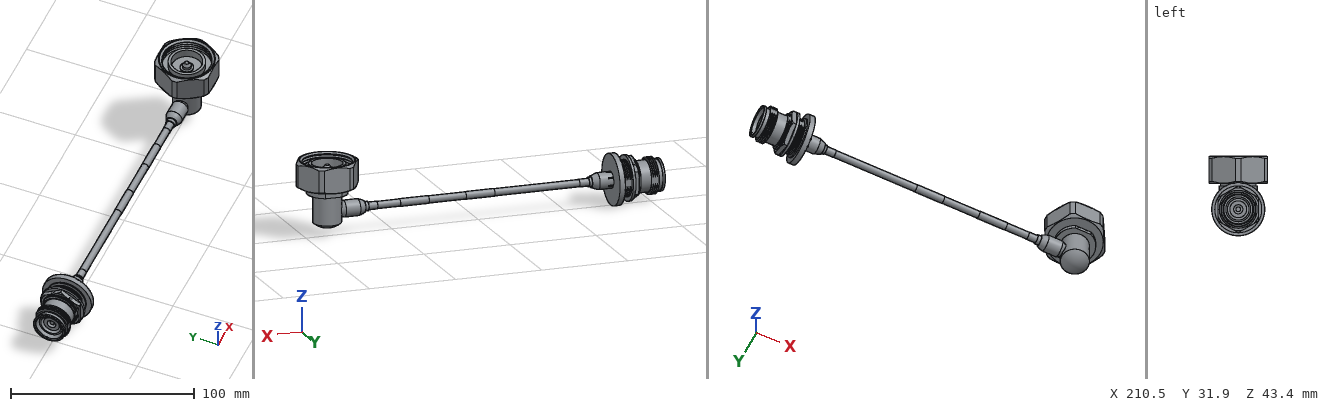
import cadquery as cq
import math


overall_length = 210.52
overall_height = 43.4

cable_radius = 2.07
sleeve_radius = 2.2
marker_length = 16.6
marker_starts = (96.3, 134.4)

lip_end = 1.3
front_thread_start = 3.6
front_thread_end = 8.0
rear_thread_start = 14.1
gasket_start = 24.3
flange_start = 25.1
flange_end = 28.3
slot_end = 31.0
jack_barrel_end = 36.2
jack_round_end = 38.1
jack_cone_end = 40.0
jack_collar_end = 41.5
jack_ferrule_end = 47.0

lip_radius = 9.2
relief_radius = 8.6
shank_radius = 8.9
thread_crest_radius = 10.35
thread_root_radius = 9.5
thread_pitch = 1.0
crest_width = 0.2
thread_flat_offset = 9.3
gasket_radius = 11.5
flange_radius = 14.5

mouth_radius = 7.9
mouth_depth = 8.0
mouth_chamfer = 0.5
outer_contact_radius = 6.8
outer_contact_bore_radius = 5.9
outer_contact_recess = 2.5
insulator_radius = 4.6
insulator_bore_radius = 2.5
insulator_recess = 3.5
insulator_bore_depth = 6.5
socket_radius = 1.3
socket_recess = 4.5

barrel_radius = 4.7
taper_large_radius = 4.0
taper_small_radius = 3.3
collar_radius = 2.7

slot_count = 6
slot_width = 0.6
slot_depth = 0.4

panel_nut_start = 15.8
panel_nut_washer_start = 18.4
panel_nut_end = 19.9
panel_nut_across_flats = 22.0
half_hex_angle = 30
panel_nut_washer_radius = 12.8
panel_nut_face_radius = 11.6
panel_nut_chamfer_length = 0.7

coupling_top = overall_height - flange_radius
coupling_bottom = 14.0
coupling_across_flats = 31.86
coupling_turned_radius = 17.58
coupling_face_radius = 15.5
coupling_chamfer_height = 1.2
coupling_web = 2.5
coupling_major_radius = 14.6
coupling_minor_radius = 13.7
coupling_thread_pitch = 1.5
coupling_mouth_radius = 15.0
coupling_mouth_depth = 0.8

plug_axis_x = overall_length - coupling_turned_radius
plug_floor = coupling_top - 5.6
plug_seat = coupling_bottom + coupling_web
neck_radius = 9.8
collar_top = 12.7
collar_bottom = 10.1
plug_collar_radius = 11.45
plug_collar_flat_offset = 10.45
elbow_radius = 7.95
dome_start = -6.5
dome_height = 3.1
plug_tube_radius = 10.2
plug_tube_bore_radius = 8.6
plug_tube_top = coupling_top - 1.9
plug_insulator_top = coupling_top - 6.8
pin_base_radius = 3.7
pin_radius = 2.4
pin_tip_radius = 1.2
pin_base_top = plug_insulator_top + 0.6
pin_taper_start = coupling_top - 4.6
pin_tip_top = coupling_top - 2.9

entry_ferrule_start = 164.3
entry_collar_start = 169.5
entry_cone_start = 171.5
entry_round_start = 172.9
entry_barrel_start = 175.1
entry_barrel_end = 183.4
entry_neck_start = 186.4
entry_neck_radius = 3.3


def cylinder_x(start, end, radius):
    """Cylinder along the X axis."""
    return cq.Workplane("YZ", origin=(start, 0, 0)).circle(radius).extrude(end - start)


def cylinder_z(bottom, top, radius):
    """Cylinder along the plug axis."""
    return cq.Workplane("XY", origin=(plug_axis_x, 0, bottom)).circle(radius).extrude(top - bottom)


def revolve_x(points):
    """Solid turned about the X axis from (x, radius) points."""
    return cq.Workplane("XY").polyline(points).close().revolve(360, (0, 0, 0), (1, 0, 0))


def revolve_z(points):
    """Solid turned about the plug axis from (radius, z) points."""
    profile = cq.Workplane("XZ", origin=(plug_axis_x, 0, 0)).polyline(points).close()
    return profile.revolve(360, (0, 0, 0), (0, 1, 0))


def ring_thread(start, end):
    """Threaded barrel with ring-shaped teeth and flats on the +Y and -Y sides."""
    length = end - start
    teeth = round(length / thread_pitch)
    spacing = length / teeth
    points = [(start, 0), (start, thread_root_radius)]
    for tooth in range(teeth):
        middle = start + (tooth + 0.5) * spacing
        points.append((middle - crest_width / 2, thread_crest_radius))
        points.append((middle + crest_width / 2, thread_crest_radius))
        points.append((start + (tooth + 1) * spacing, thread_root_radius))
    points.append((end, 0))
    flats = cq.Workplane("XY").box(length, 2 * thread_flat_offset, 2 * thread_crest_radius)
    return revolve_x(points).intersect(flats.translate((start + length / 2, 0, 0)))


def make_jack():
    jack = cylinder_x(0, lip_end, lip_radius)
    jack = jack.union(cylinder_x(lip_end, front_thread_start, relief_radius))
    jack = jack.union(ring_thread(front_thread_start, front_thread_end))
    jack = jack.union(cylinder_x(front_thread_end, rear_thread_start, shank_radius))
    jack = jack.union(ring_thread(rear_thread_start, gasket_start))
    jack = jack.union(cylinder_x(gasket_start, flange_start, gasket_radius))
    jack = jack.union(cylinder_x(flange_start, flange_end, flange_radius))

    jack = jack.cut(revolve_x([
        (0, 0),
        (0, mouth_radius + mouth_chamfer),
        (mouth_chamfer, mouth_radius),
        (mouth_depth, mouth_radius),
        (mouth_depth, 0),
    ]))
    outer_contact = cylinder_x(outer_contact_recess, mouth_depth, outer_contact_radius)
    jack = jack.union(outer_contact.cut(cylinder_x(0, mouth_depth, outer_contact_bore_radius)))
    insulator = cylinder_x(insulator_recess, mouth_depth, insulator_radius)
    jack = jack.union(insulator.cut(cylinder_x(0, insulator_bore_depth, insulator_bore_radius)))
    jack = jack.union(cylinder_x(socket_recess, mouth_depth, socket_radius))

    jack = jack.union(revolve_x([
        (flange_end, 0),
        (flange_end, barrel_radius),
        (jack_barrel_end, barrel_radius),
        (jack_round_end, taper_large_radius),
        (jack_cone_end, taper_small_radius),
        (jack_cone_end, collar_radius),
        (jack_collar_end, collar_radius),
        (jack_collar_end, sleeve_radius),
        (jack_ferrule_end, sleeve_radius),
        (jack_ferrule_end, 0),
    ]))

    slot_length = slot_end - flange_end
    slot = cq.Workplane("XY").box(slot_length, slot_width, 2 * slot_depth)
    slot = slot.translate((flange_end + slot_length / 2, 0, barrel_radius))
    for index in range(slot_count):
        jack = jack.cut(slot.rotate((0, 0, 0), (1, 0, 0), index * 360 / slot_count))

    return jack.cut(cylinder_x(jack_barrel_end, jack_ferrule_end, cable_radius))


def make_panel_nut():
    hex_length = panel_nut_washer_start - panel_nut_start
    corner_radius = panel_nut_across_flats / math.sqrt(3)
    nut = cq.Workplane("YZ", origin=(panel_nut_start, 0, 0))
    nut = nut.polygon(6, 2 * corner_radius).extrude(hex_length)
    nut = nut.rotate((0, 0, 0), (1, 0, 0), half_hex_angle)
    nut = nut.intersect(revolve_x([
        (panel_nut_start, 0),
        (panel_nut_start, panel_nut_face_radius),
        (panel_nut_start + panel_nut_chamfer_length, corner_radius),
        (panel_nut_washer_start, corner_radius),
        (panel_nut_washer_start, 0),
    ]))
    nut = nut.union(cylinder_x(panel_nut_washer_start, panel_nut_end, panel_nut_washer_radius))
    return nut.cut(cylinder_x(panel_nut_start, panel_nut_end, thread_crest_radius))


def make_cable():
    return cylinder_x(jack_barrel_end, entry_barrel_start, cable_radius)


def make_marker(start):
    end = start + marker_length
    return cylinder_x(start, end, sleeve_radius).cut(cylinder_x(start, end, cable_radius))


def make_plug():
    elbow_profile = (
        cq.Workplane("XZ", origin=(plug_axis_x, 0, 0))
        .moveTo(0, collar_bottom)
        .lineTo(elbow_radius, collar_bottom)
        .lineTo(elbow_radius, dome_start)
    )
    dome_sphere = (elbow_radius**2 + dome_height**2) / (2 * dome_height)
    half_angle = math.asin(elbow_radius / dome_sphere) / 2
    dome_middle = (
        dome_sphere * math.sin(half_angle),
        dome_start - dome_height + dome_sphere * (1 - math.cos(half_angle)),
    )
    elbow_profile = elbow_profile.threePointArc(dome_middle, (0, dome_start - dome_height)).close()
    plug = elbow_profile.revolve(360, (0, 0, 0), (0, 1, 0))
    collar_width = 2 * plug_collar_radius
    flats = cq.Workplane("XY").box(collar_width, 2 * plug_collar_flat_offset, coupling_top)
    flats = flats.translate((plug_axis_x, 0, coupling_top / 2))
    plug = plug.union(cylinder_z(collar_bottom, collar_top, plug_collar_radius).intersect(flats))
    plug = plug.union(cylinder_z(collar_top, plug_seat, neck_radius))
    plug = plug.union(cylinder_z(plug_seat, plug_floor, coupling_minor_radius))

    plug = plug.union(cylinder_z(plug_floor, plug_tube_top, plug_tube_radius))
    plug = plug.cut(cylinder_z(plug_insulator_top, plug_tube_top, plug_tube_bore_radius))
    plug = plug.union(revolve_z([
        (0, plug_insulator_top),
        (pin_base_radius, plug_insulator_top),
        (pin_base_radius, pin_base_top),
        (pin_radius, pin_base_top),
        (pin_radius, pin_taper_start),
        (pin_tip_radius, pin_tip_top),
        (0, pin_tip_top),
    ]))

    plug = plug.union(revolve_x([
        (entry_ferrule_start, 0),
        (entry_ferrule_start, sleeve_radius),
        (entry_collar_start, sleeve_radius),
        (entry_collar_start, collar_radius),
        (entry_cone_start, collar_radius),
        (entry_cone_start, taper_small_radius),
        (entry_round_start, taper_large_radius),
        (entry_barrel_start, barrel_radius),
        (entry_barrel_end, barrel_radius),
        (entry_neck_start, entry_neck_radius),
        (plug_axis_x, entry_neck_radius),
        (plug_axis_x, 0),
    ]))
    return plug.cut(cylinder_x(entry_ferrule_start, entry_barrel_start, cable_radius))


def make_coupling_nut():
    height = coupling_top - coupling_bottom
    corner_diameter = 2 * coupling_across_flats / math.sqrt(3)
    nut = cq.Workplane("XY", origin=(plug_axis_x, 0, coupling_bottom))
    nut = nut.polygon(6, corner_diameter).extrude(height)
    nut = nut.intersect(revolve_z([
        (0, coupling_bottom),
        (coupling_face_radius, coupling_bottom),
        (coupling_turned_radius, coupling_bottom + coupling_chamfer_height),
        (coupling_turned_radius, coupling_top - coupling_chamfer_height),
        (coupling_face_radius, coupling_top),
        (0, coupling_top),
    ]))
    nut = nut.cut(cylinder_z(coupling_bottom, plug_seat, neck_radius))
    nut = nut.cut(cylinder_z(plug_seat, plug_floor, coupling_minor_radius))

    thread_top = coupling_top - coupling_mouth_depth
    points = [(0, plug_floor), (coupling_minor_radius, plug_floor)]
    grooves = int((thread_top - plug_floor) / coupling_thread_pitch)
    for groove in range(grooves):
        groove_bottom = plug_floor + groove * coupling_thread_pitch
        points.append((coupling_major_radius, groove_bottom + coupling_thread_pitch / 2))
        points.append((coupling_minor_radius, groove_bottom + coupling_thread_pitch))
    points.extend([
        (coupling_minor_radius, thread_top),
        (coupling_mouth_radius, coupling_top),
        (0, coupling_top),
    ])
    return nut.cut(revolve_z(points))


jack = make_jack()
panel_nut = make_panel_nut()
cable = make_cable()
markers = [make_marker(start) for start in marker_starts]
plug = make_plug()
coupling_nut = make_coupling_nut()

result = cq.Compound.makeCompound([
    jack.val(),
    panel_nut.val(),
    cable.val(),
    *[marker.val() for marker in markers],
    plug.val(),
    coupling_nut.val(),
])